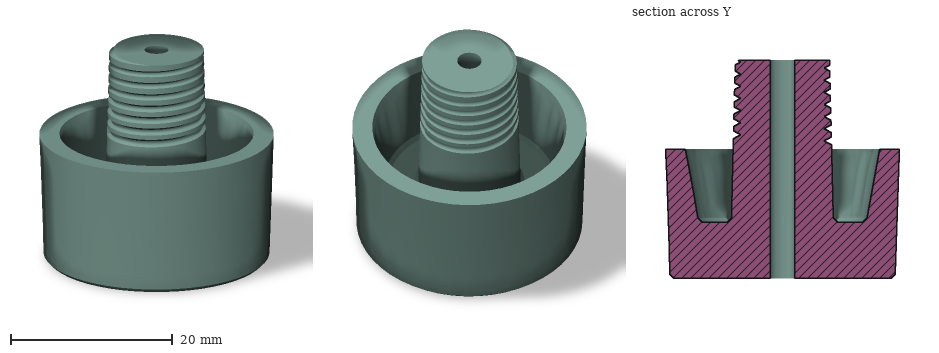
import cadquery as cq
import math

rim_radius = 14.5
base_radius = 13.98
rim_height = 16.0
floor_height = 7.0
cavity_rim_radius = 12.0
cavity_floor_radius = 10.45
chamfer = 0.5

total_height = 27.0
post_top_radius = 5.85
post_base_radius = 6.32
bore_diameter = 3.0
post_taper = (post_base_radius - post_top_radius) / (total_height - floor_height - chamfer)

thread_turns = 7
root_radius = 5.22
cutter_radius = 6.52
flank_angle = 29.0
thread_start_height = 16.5
thread_start_angle = 240.0
pitch = (total_height - thread_start_height) / thread_turns
runout = pitch
blank_height = total_height + 2 * runout


def make_body():
    """Cup and an overlong post, revolved as a single half section."""
    floor_chamfer_top = floor_height + chamfer
    blank_top_radius = post_top_radius - post_taper * (blank_height - total_height)
    half_section = [
        (0, 0),
        (base_radius - chamfer, 0),
        (base_radius, chamfer),
        (rim_radius, rim_height),
        (cavity_rim_radius, rim_height),
        (cavity_floor_radius, floor_chamfer_top),
        (cavity_floor_radius - chamfer, floor_height),
        (post_base_radius + chamfer, floor_height),
        (post_base_radius, floor_chamfer_top),
        (blank_top_radius, blank_height),
        (0, blank_height),
    ]
    return cq.Workplane("XZ").polyline(half_section).close().revolve(360, (0, 0), (0, 1))


def make_thread_groove():
    """V groove that starts bluntly and runs out past the finished top of the post."""
    half_width = (cutter_radius - root_radius) * math.tan(math.radians(flank_angle))
    path = cq.Wire.makeHelix(pitch, total_height - thread_start_height + runout, root_radius)
    groove = (
        cq.Workplane("XZ")
        .polyline([(root_radius, 0), (cutter_radius, half_width), (cutter_radius, -half_width)])
        .close()
        .sweep(cq.Workplane(obj=path), isFrenet=True)
    )
    groove = groove.rotate((0, 0, 0), (0, 0, 1), thread_start_angle)
    return groove.translate((0, 0, thread_start_height))


bore = cq.Workplane("XY").circle(bore_diameter / 2).extrude(total_height)

envelope = cq.Workplane("XY").circle(rim_radius + chamfer).extrude(total_height)

result = make_body().cut(make_thread_groove()).intersect(envelope).cut(bore)